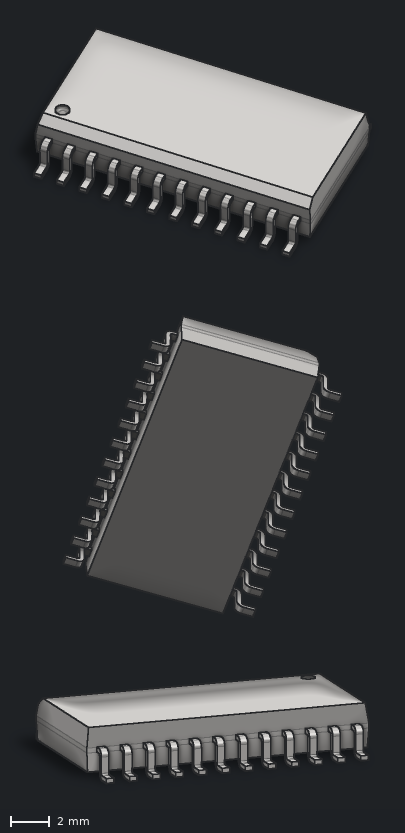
import cadquery as cq
import math

BODY_LENGTH = 15.5
BODY_WIDTH = 7.5
BODY_BOTTOM = 0.3
BODY_TOP = 2.65
UPPER_DRAFT = 8.0
LOWER_DRAFT = 3.5

BEVEL_TOP_Y = -3.13
BEVEL_DROP = 0.4

LEADS_PER_SIDE = 12
LEAD_PITCH = 1.27
LEAD_WIDTH = 0.42
LEAD_THICKNESS = 0.26
LEAD_SPAN = 10.3
LEAD_TOP = 1.61
LEAD_SHANK_Y = 4.4
BEND_INNER_RADIUS = 0.11
LEAD_EMBED = 0.15

DIMPLE_X = -6.76
DIMPLE_Y = -2.54
DIMPLE_RADIUS = 0.37
DIMPLE_DEPTH = 0.25
DIMPLE_FLOOR_FILLET = 0.15

BAND_TOP = LEAD_TOP
BAND_BOTTOM = LEAD_TOP - LEAD_THICKNESS


def body_slab(base_z, height, draft=0):
    """Rectangular body layer rising (or falling) from base_z, narrowing by the draft angle."""
    return (
        cq.Workplane("XY")
        .workplane(offset=base_z)
        .rect(BODY_LENGTH, BODY_WIDTH)
        .extrude(height, taper=draft)
    )


def make_body():
    band = body_slab(BAND_BOTTOM, LEAD_THICKNESS)
    upper = body_slab(BAND_TOP, BODY_TOP - BAND_TOP, UPPER_DRAFT)
    lower = body_slab(BAND_BOTTOM, BODY_BOTTOM - BAND_BOTTOM, LOWER_DRAFT)
    return band.union(upper).union(lower)


def make_bevel_cutter():
    """Triangular prism whose sloping face joins the top face to the drafted -Y wall."""
    bevel_bottom = BODY_TOP - BEVEL_DROP
    wall_inset = (bevel_bottom - BAND_TOP) * math.tan(math.radians(UPPER_DRAFT))
    outer_y = -BODY_WIDTH / 2
    wall_y = outer_y + wall_inset
    slope = BEVEL_DROP / (BEVEL_TOP_Y - wall_y)
    outer_z = bevel_bottom - slope * (wall_y - outer_y)
    return (
        cq.Workplane("YZ")
        .polyline([(BEVEL_TOP_Y, BODY_TOP), (outer_y, BODY_TOP), (outer_y, outer_z)])
        .close()
        .extrude(BODY_LENGTH / 2, both=True)
    )


def make_dimple_cutter():
    return (
        cq.Workplane("XY")
        .workplane(offset=BODY_TOP)
        .center(DIMPLE_X, DIMPLE_Y)
        .circle(DIMPLE_RADIUS)
        .extrude(-DIMPLE_DEPTH)
        .faces("<Z")
        .edges()
        .fillet(DIMPLE_FLOOR_FILLET)
    )


def make_lead():
    """One lead on the +Y side, centred on X = 0 and rooted inside the body."""
    inner = BEND_INNER_RADIUS
    outer = inner + LEAD_THICKNESS
    root_y = BODY_WIDTH / 2 - LEAD_EMBED
    toe_y = LEAD_SPAN / 2
    shank_in = LEAD_SHANK_Y - LEAD_THICKNESS
    upper_bend_y = LEAD_SHANK_Y - outer
    upper_bend_z = LEAD_TOP - outer
    lower_bend_y = shank_in + outer
    lower_bend_z = outer
    return (
        cq.Workplane("YZ")
        .moveTo(root_y, LEAD_TOP)
        .lineTo(upper_bend_y, LEAD_TOP)
        .radiusArc((LEAD_SHANK_Y, upper_bend_z), outer)
        .lineTo(LEAD_SHANK_Y, lower_bend_z)
        .radiusArc((lower_bend_y, LEAD_THICKNESS), -inner)
        .lineTo(toe_y, LEAD_THICKNESS)
        .lineTo(toe_y, 0)
        .lineTo(lower_bend_y, 0)
        .radiusArc((shank_in, lower_bend_z), outer)
        .lineTo(shank_in, upper_bend_z)
        .radiusArc((upper_bend_y, BAND_BOTTOM), -inner)
        .lineTo(root_y, BAND_BOTTOM)
        .close()
        .extrude(LEAD_WIDTH / 2, both=True)
    )


result = make_body().cut(make_bevel_cutter()).cut(make_dimple_cutter())

back_lead = make_lead()
front_lead = back_lead.mirror("XZ")
for index in range(LEADS_PER_SIDE):
    lead_x = (index - (LEADS_PER_SIDE - 1) / 2) * LEAD_PITCH
    for lead in (back_lead, front_lead):
        result = result.union(lead.translate((lead_x, 0, 0)))